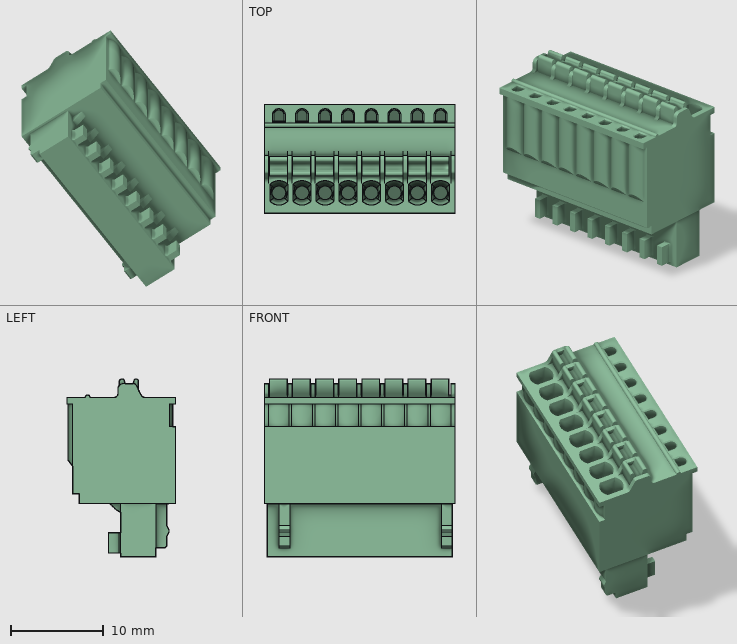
import cadquery as cq
import math


length = 20.6
depth = 11.75
total_height = 19.2
housing_bottom = 5.75
deck_top = 17.2
deck_thickness = 0.72
deck_bottom = deck_top - deck_thickness
rear_wall_y = 11.12
rear_step_y = 10.42
rear_step_z = 6.8

pole_count = 8
pitch = 2.5
pole_x = [(i - (pole_count - 1) / 2) * pitch for i in range(pole_count)]

bulge_width = 2.22
front_recess_y = 0.65
front_recess_bottom = 14.05
front_bulge = 0.37
rear_bulge = 0.5
rear_bulge_bottom = 9.76
rear_bulge_taper = 0.68

funnel_y = 2.2
funnel_radius = 1.32
funnel_width = 1.94
funnel_floor_radius = 0.75
funnel_depth = 2.88

test_hole_flat_y = 9.97
test_hole_radius = 0.55
test_hole_straight = 0.62
test_hole_depth = 3.1
test_hole_rim = 0.15
test_hole_rim_depth = 0.1

ridge_y = 9.5
ridge_radius = 0.27

divider_width = 0.47
divider_top = 18.68
divider_rear_y = 6.25
divider_front_top_y = 4.35
divider_front_base_y = 3.58
divider_rear_round = 0.55
divider_rear_base_round = 0.41
divider_front_round = 0.27
divider_front_base_round = 0.5

lever_width = 1.94
lever_shift = -0.06
lever_front_y = 4.02
lever_rear_y = 6.1
front_prong_round = 0.25
rear_prong_round = 0.33
prong_inner_round = 0.25
groove_floor_z = 18.13
groove_floor_rise = 0.16
groove_floor_width = 0.54

plug_length = 19.98
plug_front_y = 2.15
plug_rear_y = 5.93
pad_front_y = 0.78
pad_thickness = 0.06

latch_width = 1.2
latch_front_y = 0.95
latch_bottom = 0.97
latch_chamfer = 0.19
latch_left_x = [pole_x[0], plug_length / 2 - latch_width]
latch_nose_y = 0.7
latch_nose_z = 2.78
latch_nose_half_base = 0.58
latch_nose_half_tip = 0.12

key_width = 0.7
key_rear_y = 7.27
key_bottom = 0.4
key_top = 2.62
key_root_flare = 0.16
gusset_rear_y = 7.1
gusset_bend_y = 6.45
gusset_bend_z = 5.09
gusset_bottom = 4.78


def box(x0, x1, y0, y1, z0, z1):
    """Axis-aligned box between two corners."""
    return cq.Workplane("XY").box(x1 - x0, y1 - y0, z1 - z0, centered=False).translate((x0, y0, z0))


def side_sketch(x0):
    """Workplane at the given X whose local axes are part Y and part Z."""
    return cq.Workplane("YZ", origin=(x0, 0, 0))


def bulge(centre_x, base_y, height_y, z0, z1):
    """Upright wall segment with an arc-shaped face; the sign of height_y gives its direction."""
    half = bulge_width / 2
    return (
        cq.Workplane("XY", origin=(centre_x, base_y, z0))
        .moveTo(-half, 0)
        .threePointArc((0, height_y), (half, 0))
        .close()
        .extrude(z1 - z0)
    )


def housing():
    half = length / 2
    body = (
        side_sketch(-half)
        .moveTo(0, housing_bottom)
        .lineTo(rear_step_y, housing_bottom)
        .lineTo(rear_step_y, rear_step_z)
        .lineTo(rear_wall_y, rear_step_z)
        .lineTo(rear_wall_y, deck_bottom)
        .lineTo(depth, deck_bottom)
        .lineTo(depth, deck_top)
        .lineTo(0, deck_top)
        .lineTo(0, deck_bottom)
        .lineTo(front_recess_y, deck_bottom)
        .lineTo(front_recess_y, front_recess_bottom)
        .lineTo(0, front_recess_bottom)
        .close()
        .extrude(length)
    )
    ridge = (
        side_sketch(-half)
        .moveTo(ridge_y - ridge_radius, deck_top)
        .radiusArc((ridge_y, deck_top + ridge_radius), ridge_radius)
        .radiusArc((ridge_y + ridge_radius, deck_top), ridge_radius)
        .close()
        .extrude(length)
    )
    return body.union(ridge)


def rear_bulge_body(x):
    """Rear bulge whose lower end slopes back into the rear wall."""
    half = bulge_width / 2
    slope_cut = (
        side_sketch(x - half)
        .moveTo(rear_wall_y, rear_bulge_bottom)
        .lineTo(rear_wall_y + rear_bulge, rear_bulge_bottom + rear_bulge_taper)
        .lineTo(rear_wall_y + rear_bulge, rear_bulge_bottom)
        .close()
        .extrude(bulge_width)
    )
    return bulge(x, rear_wall_y, rear_bulge, rear_bulge_bottom, deck_bottom).cut(slope_cut)


def flat_sided_circle(plane, half_x, half_y, radius):
    """Circle of the given radius with its left and right sides replaced by chords at half_x."""
    return (
        plane.moveTo(-half_x, -half_y)
        .threePointArc((0, -radius), (half_x, -half_y))
        .lineTo(half_x, half_y)
        .threePointArc((0, radius), (-half_x, half_y))
        .close()
    )


def wire_funnel(x):
    """Funnel from a flat-sided circle at the deck down to a round floor."""
    half_x = funnel_width / 2
    half_y = math.sqrt(funnel_radius**2 - half_x**2)
    quarter_corner = math.radians(45)
    floor_x = funnel_floor_radius * math.cos(quarter_corner)
    floor_y = funnel_floor_radius * math.sin(quarter_corner)
    mouth = flat_sided_circle(
        cq.Workplane("XY", origin=(x, funnel_y, deck_top)), half_x, half_y, funnel_radius
    )
    return (
        mouth.workplane(offset=-funnel_depth)
        .moveTo(-floor_x, -floor_y)
        .threePointArc((0, -funnel_floor_radius), (floor_x, -floor_y))
        .threePointArc((funnel_floor_radius, 0), (floor_x, floor_y))
        .threePointArc((0, funnel_floor_radius), (-floor_x, floor_y))
        .threePointArc((-funnel_floor_radius, 0), (-floor_x, -floor_y))
        .close()
        .loft(ruled=True)
    )


def test_hole(x):
    """Blind D-shaped hole, round toward the rear, with a bevelled rim."""
    def outline(plane, grow):
        radius = test_hole_radius + grow
        arc_y = test_hole_straight
        return (
            plane.moveTo(-radius, -grow)
            .lineTo(radius, -grow)
            .lineTo(radius, arc_y)
            .threePointArc((0, arc_y + radius), (-radius, arc_y))
            .close()
        )

    mouth = cq.Workplane("XY", origin=(x, test_hole_flat_y, deck_top))
    hole = outline(mouth, 0).extrude(-test_hole_depth)
    rim = outline(
        outline(mouth, test_hole_rim).workplane(offset=-test_hole_rim_depth), 0
    ).loft(ruled=True)
    return hole.union(rim)


def divider(x0):
    """Wall beside a lever: steep rear, sloped front, blended into the deck."""
    wall = (
        side_sketch(x0)
        .moveTo(0, deck_bottom)
        .lineTo(0, deck_top)
        .lineTo(divider_front_base_y, deck_top)
        .lineTo(divider_front_top_y, divider_top)
        .lineTo(divider_rear_y, divider_top)
        .lineTo(divider_rear_y, deck_top)
        .lineTo(depth, deck_top)
        .lineTo(depth, deck_bottom)
        .close()
        .extrude(divider_width)
    )

    def round_edge(body, y, z, radius):
        edge = cq.selectors.NearestToPointSelector((x0 + divider_width / 2, y, z))
        return body.edges(edge).fillet(radius)

    wall = round_edge(wall, divider_rear_y, divider_top, divider_rear_round)
    wall = round_edge(wall, divider_front_top_y, divider_top, divider_front_round)
    wall = round_edge(wall, divider_rear_y, deck_top, divider_rear_base_round)
    return round_edge(wall, divider_front_base_y, deck_top, divider_front_base_round)


def lever(x):
    """Release lever with two round-topped prongs and a tapered groove between them."""
    front_tip = lever_front_y + front_prong_round
    front_inner = front_tip + prong_inner_round
    rear_tip = lever_rear_y - rear_prong_round
    rear_inner = rear_tip - prong_inner_round
    inner_shoulder_z = total_height - prong_inner_round
    groove_mid = (front_inner + rear_inner) / 2
    floor_front = groove_mid - groove_floor_width / 2
    floor_rear = groove_mid + groove_floor_width / 2
    floor_edge_z = groove_floor_z + groove_floor_rise
    return (
        side_sketch(x - lever_width / 2)
        .moveTo(lever_front_y, deck_bottom)
        .lineTo(lever_front_y, total_height - front_prong_round)
        .radiusArc((front_tip, total_height), front_prong_round)
        .radiusArc((front_inner, inner_shoulder_z), prong_inner_round)
        .lineTo(floor_front, floor_edge_z)
        .threePointArc((groove_mid, groove_floor_z), (floor_rear, floor_edge_z))
        .lineTo(rear_inner, inner_shoulder_z)
        .radiusArc((rear_tip, total_height), prong_inner_round)
        .radiusArc((lever_rear_y, total_height - rear_prong_round), rear_prong_round)
        .lineTo(lever_rear_y, deck_bottom)
        .close()
        .extrude(lever_width)
    )


def plug():
    half = plug_length / 2
    core = box(-half, half, plug_front_y, plug_rear_y, 0, housing_bottom)
    pad = box(-half, half, pad_front_y, plug_front_y, housing_bottom - pad_thickness, housing_bottom)
    return core.union(pad)


def latch(x0):
    """Latch arm with a chamfered lower tip and a small snap nose."""
    return (
        side_sketch(x0)
        .moveTo(plug_front_y, housing_bottom)
        .lineTo(latch_front_y, housing_bottom)
        .lineTo(latch_front_y, latch_nose_z + latch_nose_half_base)
        .lineTo(latch_nose_y, latch_nose_z + latch_nose_half_tip)
        .lineTo(latch_nose_y, latch_nose_z - latch_nose_half_tip)
        .lineTo(latch_front_y, latch_nose_z - latch_nose_half_base)
        .lineTo(latch_front_y, latch_bottom + latch_chamfer)
        .lineTo(latch_front_y + latch_chamfer, latch_bottom)
        .lineTo(plug_front_y, latch_bottom)
        .close()
        .extrude(latch_width)
    )


def coding_key(x):
    """Rear key with a flared root."""
    half = key_width / 2
    return (
        cq.Workplane("XY", origin=(x, plug_rear_y, key_bottom))
        .moveTo(-half - key_root_flare, 0)
        .lineTo(-half, key_root_flare)
        .lineTo(-half, key_rear_y - plug_rear_y)
        .lineTo(half, key_rear_y - plug_rear_y)
        .lineTo(half, key_root_flare)
        .lineTo(half + key_root_flare, 0)
        .close()
        .extrude(key_top - key_bottom)
    )


def gusset(x):
    """Bent-sloped brace between the plug rear and the housing underside."""
    return (
        side_sketch(x - key_width / 2)
        .moveTo(plug_rear_y, housing_bottom)
        .lineTo(gusset_rear_y, housing_bottom)
        .lineTo(gusset_bend_y, gusset_bend_z)
        .lineTo(plug_rear_y, gusset_bottom)
        .close()
        .extrude(key_width)
    )


result = housing().union(plug())

for x in pole_x:
    result = result.union(bulge(x, front_recess_y, -front_bulge, front_recess_bottom, deck_bottom))
    result = result.union(rear_bulge_body(x))
    result = result.union(lever(x + lever_shift))
    result = result.union(coding_key(x))
    result = result.union(gusset(x))

between_levers = [x + lever_shift - (pitch + divider_width) / 2 for x in pole_x[1:]]
for x0 in [-length / 2, *between_levers, length / 2 - divider_width]:
    result = result.union(divider(x0))

for x0 in latch_left_x:
    result = result.union(latch(x0))

for x in pole_x:
    result = result.cut(wire_funnel(x)).cut(test_hole(x))